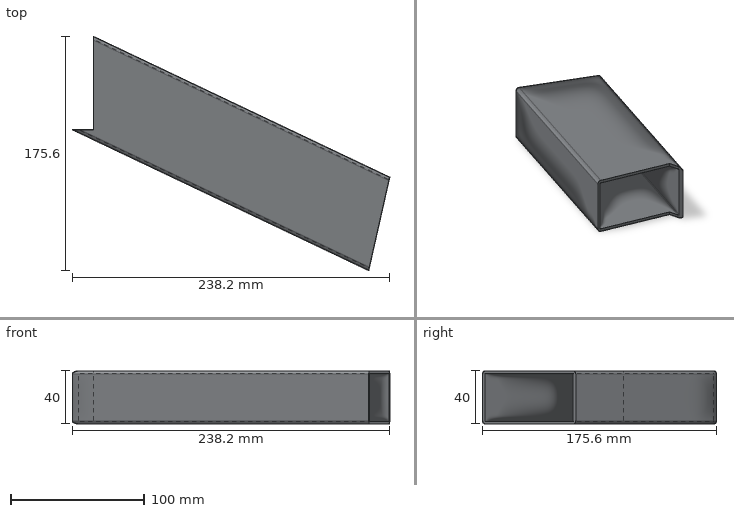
import cadquery as cq
import math

tube_width = 70.0
tube_height = 40.0
wall = 2.0
outer_radius = 2.5
inner_radius = outer_radius - wall

overall_length_x = 238.15
tilt_angle = 25.413
tilt = math.radians(tilt_angle)

mitre_offset_x = tube_width * math.tan(tilt / 2)
run_x = overall_length_x - mitre_offset_x
drop_y = run_x * math.tan(tilt)

near_tip = (0, 0)
notch_corner = (mitre_offset_x, 0)
far_tip = (mitre_offset_x, tube_width)
far_mitre = (overall_length_x, tube_width - drop_y)
near_mitre = (run_x, -drop_y)


def rounded_bar(width, height, radius, length):
    """Bar along X, centred on the X axis, with rounded lengthwise edges."""
    return cq.Workplane("XY").box(length, width, height).edges("|X").fillet(radius)


def untrimmed_tube():
    """Overlong tube laid along the tilted direction, on the centre of the footprint."""
    length = 2 * overall_length_x
    outside = rounded_bar(tube_width, tube_height, outer_radius, length)
    inside = rounded_bar(tube_width - 2 * wall, tube_height - 2 * wall, inner_radius, length)
    centre = (overall_length_x / 2, (tube_width - drop_y) / 2, 0)
    tube = outside.cut(inside)
    return tube.rotate((0, 0, 0), (0, 0, 1), -tilt_angle).translate(centre)


def trimming_prism():
    """Upright prism whose footprint sets the notched end and the mitred end."""
    footprint = [near_tip, notch_corner, far_tip, far_mitre, near_mitre]
    return cq.Workplane("XY").polyline(footprint).close().extrude(tube_height, both=True)


result = untrimmed_tube().intersect(trimming_prism())